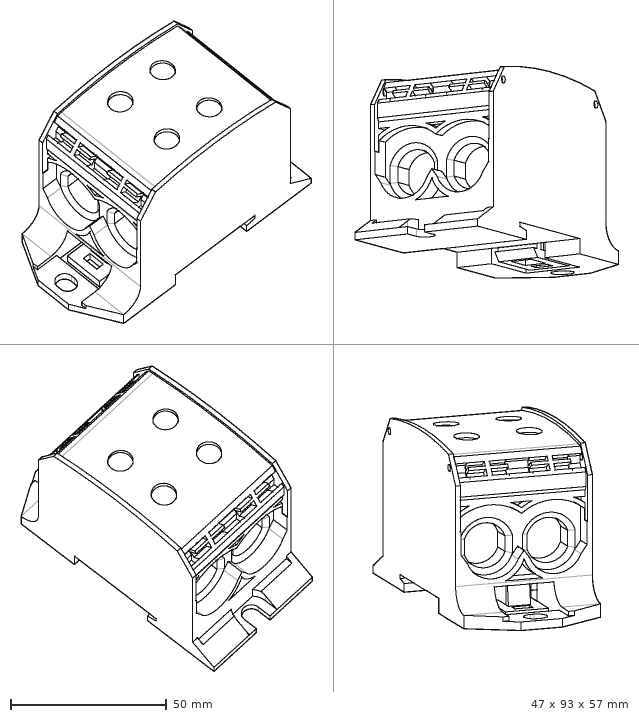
import cadquery as cq
import math

WIDTH = 47.0
FLANGE = 1.7
BLOCK_DEPTH = 67.3
FRONT_FOOT = 16.4
BACK_FOOT = 9.3
HEIGHT = 57.0
WALL = BLOCK_DEPTH / 2
CORE_WIDTH = WIDTH - 2 * FLANGE

SHOULDER_Z = 45.6
EAVE_INSET = 6.7
EAVE_Z = 54.7
BACK_FOOT_EDGE_Z = 2.4
BACK_FOOT_WALL_Z = 7.7
COVE_RADIUS = 7.9
COVE_RUN = 7.5
FRONT_FOOT_Z = 4.4
FRONT_FOOT_RISE = 0.1
PAD_Z = 2.9

RAIL_FRONT = 17.9
RAIL_BACK = 17.8
RAIL_Z = 5.0
LIP_BACK = 13.9
LIP_ROOT_Z = 3.7
LIP_TIP_Z = 2.9

CORE_DROP = 1.0
STRIP_INSET = 8.5
STRIP_RISE = 0.4
HOOD_INSET = 1.7
HOOD_TOP_Z = 46.2
HOOD_BOTTOM_Z = 41.4
RIM_INSET = 2.3
RIM_TOP_Z = 40.2
RIM_BOTTOM_Z = 30.2
CORE_EAVE_Z = EAVE_Z - CORE_DROP
CORE_TOP_Z = HEIGHT - CORE_DROP

POLE_X = 10.8
ENTRY_Z = 23.3
ENTRY_RADIUS = 9.5
ENTRY_FLAT = 9.0
BEVEL_INSET = 2.0
BEVEL_DEPTH = 1.4
BORE_DEPTH = 6.7
POCKET_DEPTH = 6.0
POCKET_HALF = 10.9
POCKET_KNEE = 3.6
POCKET_LOW_Z = 22.6
POCKET_HIGH_Z = 34.0
POCKET_TOP_Z = 37.8
CREST_RADIUS = 18.9
CREST_CENTER_Z = 20.5
CREST_TOP_Z = 38.0
CRADLE_RADIUS = 11.4
CRADLE_HALF = 6.5
CRADLE_BASE_Z = 12.8
CRADLE_TOP_Z = 20.45

WINDOW_LOW_Z = 47.5
WINDOW_HIGH_Z = 51.6
BAR_LOW_Z = 49.4
BAR_HIGH_Z = 50.3
SLOT_DEPTH = 2.8
MULLION = 1.8
BAY_HALF = 4.0
BAY_FLOOR_Z = 43.2
BAY_CEILING_DROP = 1.1
BAY_BACK_INSET = 7.1
BAY_STEP_INSET = 5.95
BAY_STEP_HIGH_Z = 48.0
BAY_STEP_LOW_Z = 46.4

SCREW_RADIUS = 4.1
SCREW_Y = 9.5
SCREW_FLOOR_Z = 54.3
DIMPLE_RADIUS = 1.1
DIMPLE_Y = 27.6
DIMPLE_Z = 50.3
DIMPLE_DEPTH = 1.1

TIP_HALF = 7.1
RAISED_REACH = 13.6
CHANNEL_HALF = 10.2
CHANNEL_TOP_Z = 11.2
PAD_INNER = 4.9
EYE_REACH = 10.6
EYE_LENGTH = 7.7
EYE_WIDTH = 6.3
NOTCH_RADIUS = 3.3
NOTCH_CENTER = 5.1
SEAT_RADIUS = 6.6
LEDGE_HALF = 21.2
LEDGE_REACH = 2.5

LATCH_HALF = 7.4
LATCH_REACH = 2.8
LATCH_LOW_Z = 0.4
PLATE_Z = 3.3
HOOK_HEEL = 17.4
HOOK_TIP = 15.5
HEEL_Z = 4.9
LATCH_BACK = 1.9
TAB_HALF = 3.8
TAB_INSET = 4.2
TAB_LEAN = 1.1
TAB_THICKNESS = 1.2
KEYHOLE_WIDTH = 6.1
KEYHOLE_NEAR = 0.2
KEYHOLE_FAR = 3.1


def box(x0, x1, y0, y1, z0, z1):
    return cq.Workplane("XY").box(x1 - x0, y1 - y0, z1 - z0, centered=False).translate((x0, y0, z0))


def prism(outline, x0, x1):
    """Extrude a closed YZ outline from x0 to x1."""
    return outline.extrude(x1 - x0).translate((x0, 0, 0))


def front(inset):
    """Y at a given distance behind the front wall."""
    return inset - WALL


def slope_inset(z):
    """Inset of the core's sloping face at height z."""
    run = EAVE_INSET - HOOD_INSET
    return HOOD_INSET + run * (z - HOOD_TOP_Z) / (CORE_EAVE_Z - HOOD_TOP_Z)


def underside(wire):
    """Continue an outline from the front wall down, under the part and up to the back wall."""
    drop = math.sqrt(COVE_RADIUS**2 - (COVE_RADIUS - COVE_RUN)**2)
    cove_top = FRONT_FOOT_Z + FRONT_FOOT_RISE + drop
    half = math.sqrt(0.5)
    return (
        wire.lineTo(-WALL, cove_top)
        .threePointArc(
            (-WALL - COVE_RADIUS * (1 - half), cove_top - COVE_RADIUS * half),
            (-WALL - COVE_RUN, cove_top - drop),
        )
        .lineTo(-WALL - RAISED_REACH, FRONT_FOOT_Z)
        .lineTo(-WALL - RAISED_REACH, PAD_Z)
        .lineTo(-WALL - FRONT_FOOT, PAD_Z)
        .lineTo(-WALL - FRONT_FOOT, 0)
        .lineTo(-RAIL_FRONT, 0)
        .lineTo(-RAIL_FRONT, RAIL_Z)
        .lineTo(RAIL_BACK, RAIL_Z)
        .lineTo(RAIL_BACK, LIP_ROOT_Z)
        .lineTo(LIP_BACK, LIP_TIP_Z)
        .lineTo(LIP_BACK, 0)
        .lineTo(WALL + BACK_FOOT, 0)
        .lineTo(WALL + BACK_FOOT, BACK_FOOT_EDGE_Z)
        .lineTo(WALL, BACK_FOOT_WALL_Z)
    )


def flange_outline():
    eave_y = WALL - EAVE_INSET
    wire = (
        cq.Workplane("YZ")
        .moveTo(WALL, SHOULDER_Z)
        .lineTo(eave_y, EAVE_Z)
        .threePointArc((0, HEIGHT), (-eave_y, EAVE_Z))
        .lineTo(-WALL, SHOULDER_Z)
    )
    return underside(wire).close()


def core_outline():
    eave_y = WALL - EAVE_INSET
    wire = (
        cq.Workplane("YZ")
        .moveTo(WALL, RIM_BOTTOM_Z)
        .lineTo(WALL - RIM_INSET, RIM_BOTTOM_Z)
        .lineTo(WALL - RIM_INSET, RIM_TOP_Z)
        .lineTo(WALL - HOOD_INSET, HOOD_BOTTOM_Z)
        .lineTo(WALL - HOOD_INSET, HOOD_TOP_Z)
        .lineTo(eave_y, CORE_EAVE_Z)
        .threePointArc((0, CORE_TOP_Z), (front(STRIP_INSET), CORE_EAVE_Z + STRIP_RISE))
        .lineTo(-eave_y, CORE_EAVE_Z)
        .lineTo(front(HOOD_INSET), HOOD_TOP_Z)
        .lineTo(front(HOOD_INSET), HOOD_BOTTOM_Z)
        .lineTo(front(RIM_INSET), RIM_TOP_Z)
        .lineTo(front(RIM_INSET), RIM_BOTTOM_Z)
        .lineTo(-WALL, RIM_BOTTOM_Z)
    )
    return underside(wire).close()


def wall_plane(inset):
    """XZ sketch plane behind the front wall; negative extrusions run into the block."""
    return cq.Workplane("XZ", origin=(0, front(inset), 0))


def entry_outline(inset, shrink, x):
    """Circle with two upright flats, reduced all round by shrink."""
    radius = ENTRY_RADIUS - shrink
    flat = ENTRY_FLAT - shrink
    rise = math.sqrt(radius**2 - flat**2)
    return (
        wall_plane(inset)
        .moveTo(x - flat, ENTRY_Z - rise)
        .threePointArc((x, ENTRY_Z - radius), (x + flat, ENTRY_Z - rise))
        .lineTo(x + flat, ENTRY_Z + rise)
        .threePointArc((x, ENTRY_Z + radius), (x - flat, ENTRY_Z + rise))
        .close()
    )


def wire_entry(x):
    """Pocket, bevel and bore of one front wire entry."""
    knee_x = math.sqrt(ENTRY_RADIUS**2 - POCKET_KNEE**2)
    pocket = (
        wall_plane(0)
        .moveTo(x - POCKET_HALF, POCKET_LOW_Z)
        .lineTo(x - knee_x, ENTRY_Z - POCKET_KNEE)
        .threePointArc((x, ENTRY_Z - ENTRY_RADIUS), (x + knee_x, ENTRY_Z - POCKET_KNEE))
        .lineTo(x + POCKET_HALF, POCKET_LOW_Z)
        .lineTo(x + POCKET_HALF, POCKET_HIGH_Z)
        .threePointArc((x, POCKET_TOP_Z), (x - POCKET_HALF, POCKET_HIGH_Z))
        .close()
        .extrude(-POCKET_DEPTH)
    )
    mouth = entry_outline(POCKET_DEPTH, 0, x).wires().val()
    throat = entry_outline(POCKET_DEPTH + BEVEL_DEPTH, BEVEL_INSET, x)
    bevel = cq.Workplane(cq.Solid.makeLoft([mouth, throat.wires().val()], True))
    bore = throat.extrude(-BORE_DEPTH)
    return pocket.union(bevel).union(bore)


def between_discs(radius, center_z, half_width, z0, z1):
    """Block behind the front wall with a disc around each pole taken away."""
    block = box(-half_width, half_width, front(0), front(POCKET_DEPTH), z0, z1)
    for x in (-POLE_X, POLE_X):
        disc = wall_plane(0).center(x, center_z).circle(radius).extrude(-POCKET_DEPTH)
        block = block.cut(disc)
    return block


def slope_slot(x0, x1, z0, z1):
    """Slot between two heights of the sloping face, square to that face."""
    rise = CORE_EAVE_Z - HOOD_TOP_Z
    run = EAVE_INSET - HOOD_INSET
    length = math.hypot(rise, run)
    dy = SLOT_DEPTH * rise / length
    dz = -SLOT_DEPTH * run / length
    low = (front(slope_inset(z0)), z0)
    high = (front(slope_inset(z1)), z1)
    outline = cq.Workplane("YZ").polyline([
        (low[0] - dy, low[1] - dz),
        (high[0] - dy, high[1] - dz),
        (high[0] + dy, high[1] + dz),
        (low[0] + dy, low[1] + dz),
    ]).close()
    return prism(outline, x0, x1)


def deep_bay(x0, x1):
    """Stepped recess behind the window of the sloping face."""
    lip_y = front(slope_inset(WINDOW_LOW_Z))
    outline = cq.Workplane("YZ").polyline([
        (lip_y, WINDOW_HIGH_Z),
        (front(slope_inset(WINDOW_HIGH_Z)), WINDOW_HIGH_Z),
        (front(BAY_BACK_INSET), WINDOW_HIGH_Z - BAY_CEILING_DROP),
        (front(BAY_BACK_INSET), BAY_STEP_HIGH_Z),
        (front(BAY_STEP_INSET), BAY_STEP_LOW_Z),
        (front(BAY_STEP_INSET), BAY_FLOOR_Z),
        (lip_y, BAY_FLOOR_Z),
    ]).close()
    return prism(outline, x0, x1)


def marker_slots():
    """Deep bays at the module seams and paired slots beside each mullion."""
    side = CORE_WIDTH / 2
    bay_edge = 2 * POLE_X - BAY_HALF
    cutters = [
        deep_bay(-side, -bay_edge),
        deep_bay(-BAY_HALF, BAY_HALF),
        deep_bay(bay_edge, side),
    ]
    near = MULLION / 2
    far = POLE_X - BAY_HALF
    for pole in (-POLE_X, POLE_X):
        for x0, x1 in ((pole - far, pole - near), (pole + near, pole + far)):
            cutters.append(slope_slot(x0, x1, WINDOW_LOW_Z, BAR_LOW_Z))
            cutters.append(slope_slot(x0, x1, BAR_HIGH_Z, WINDOW_HIGH_Z))
    return cutters


def cut_front_foot(body):
    """Taper the foot, open the latch channel and pierce the eye."""
    side = WIDTH / 2
    tip_y = -WALL - FRONT_FOOT
    for sign in (-1, 1):
        corner = cq.Workplane("XY").polyline([
            (sign * side, -WALL - COVE_RUN),
            (sign * TIP_HALF, tip_y),
            (sign * side, tip_y),
        ]).close().extrude(RIM_BOTTOM_Z)
        body = body.cut(corner)
    body = body.cut(box(-CHANNEL_HALF, CHANNEL_HALF, tip_y, -RAIL_FRONT, PAD_Z, CHANNEL_TOP_Z))
    body = body.cut(box(-CHANNEL_HALF, CHANNEL_HALF, -WALL - PAD_INNER, -RAIL_FRONT, 0, PAD_Z))
    eye = (
        cq.Workplane("XY")
        .center(0, -WALL - EYE_REACH)
        .slot2D(EYE_LENGTH, EYE_WIDTH)
        .extrude(PAD_Z)
    )
    return body.cut(eye)


def cut_back_foot(body):
    """Screw notch with its flat seat, and a ledge along the wall."""
    edge_y = WALL + BACK_FOOT
    center_y = edge_y - NOTCH_CENTER
    slope = (BACK_FOOT_WALL_Z - BACK_FOOT_EDGE_Z) / BACK_FOOT
    ledge_z = BACK_FOOT_WALL_Z - slope * LEDGE_REACH
    for radius, floor_z in ((SEAT_RADIUS, BACK_FOOT_EDGE_Z), (NOTCH_RADIUS, 0)):
        notch = (
            cq.Workplane("XY", origin=(0, 0, floor_z))
            .center(0, center_y)
            .circle(radius)
            .extrude(BACK_FOOT_WALL_Z)
            .union(box(-radius, radius, center_y, edge_y, floor_z, floor_z + BACK_FOOT_WALL_Z))
        )
        body = body.cut(notch.intersect(box(-radius, radius, WALL, edge_y, 0, BACK_FOOT_WALL_Z)))
    return body.cut(box(-LEDGE_HALF, LEDGE_HALF, WALL, edge_y, ledge_z, BACK_FOOT_WALL_Z))


def dimple(x, y):
    return (
        cq.Workplane("YZ", origin=(x, 0, 0))
        .center(y, DIMPLE_Z)
        .circle(DIMPLE_RADIUS)
        .extrude(DIMPLE_DEPTH)
    )


def make_housing():
    core_half = CORE_WIDTH / 2
    body = prism(core_outline(), -core_half, core_half)
    for x in (-WIDTH / 2, core_half):
        body = body.union(prism(flange_outline(), x, x + FLANGE))

    cutters = [wire_entry(x) for x in (-POLE_X, POLE_X)]
    cutters.append(between_discs(CREST_RADIUS, CREST_CENTER_Z, core_half, POCKET_HIGH_Z, CREST_TOP_Z))
    cutters.append(between_discs(CRADLE_RADIUS, ENTRY_Z, CRADLE_HALF, CRADLE_BASE_Z, CRADLE_TOP_Z))
    cutters += marker_slots()
    for cutter in cutters:
        body = body.cut(cutter).cut(cutter.mirror("XZ"))

    screws = (
        cq.Workplane("XY", origin=(0, 0, SCREW_FLOOR_Z))
        .rect(2 * POLE_X, 2 * SCREW_Y, forConstruction=True)
        .vertices()
        .circle(SCREW_RADIUS)
        .extrude(HEIGHT - SCREW_FLOOR_Z)
    )
    body = body.cut(screws)
    for x in (-WIDTH / 2, core_half):
        for y in (-DIMPLE_Y, DIMPLE_Y):
            body = body.cut(dimple(x, y))
    return cut_back_foot(cut_front_foot(body))


def make_latch():
    """Sliding latch: plate, rail hook, back wall, leaning finger tab, keyhole and the opening behind the tab."""
    plate = cq.Workplane("YZ").polyline([
        (-WALL - LATCH_REACH, LATCH_LOW_Z),
        (-RAIL_FRONT, LATCH_LOW_Z),
        (-HOOK_TIP, PLATE_Z),
        (-HOOK_HEEL, PLATE_Z),
        (-HOOK_HEEL, HEEL_Z),
        (-RAIL_FRONT, HEEL_Z),
        (-RAIL_FRONT, CHANNEL_TOP_Z),
        (-RAIL_FRONT - LATCH_BACK, CHANNEL_TOP_Z),
        (-RAIL_FRONT - LATCH_BACK, PLATE_Z),
        (-WALL - LATCH_REACH, PLATE_Z),
    ]).close()
    tab_y = front(TAB_INSET)
    tab = cq.Workplane("YZ").polyline([
        (tab_y, PLATE_Z),
        (tab_y + TAB_LEAN, CHANNEL_TOP_Z),
        (tab_y + TAB_LEAN + TAB_THICKNESS, CHANNEL_TOP_Z),
        (tab_y + TAB_LEAN + TAB_THICKNESS, PLATE_Z),
    ]).close()
    half = KEYHOLE_WIDTH / 2
    keyhole = box(-half, half, front(KEYHOLE_NEAR), front(KEYHOLE_FAR), LATCH_LOW_Z, PLATE_Z)
    tab_opening = box(
        -TAB_HALF, TAB_HALF, tab_y + TAB_THICKNESS, -RAIL_FRONT - LATCH_BACK, LATCH_LOW_Z, PLATE_Z
    )
    return (
        prism(plate, -LATCH_HALF, LATCH_HALF)
        .union(prism(tab, -TAB_HALF, TAB_HALF))
        .cut(keyhole)
        .cut(tab_opening)
    )


housing = make_housing()
latch = make_latch()
result = cq.Compound.makeCompound([housing.val(), latch.val()])